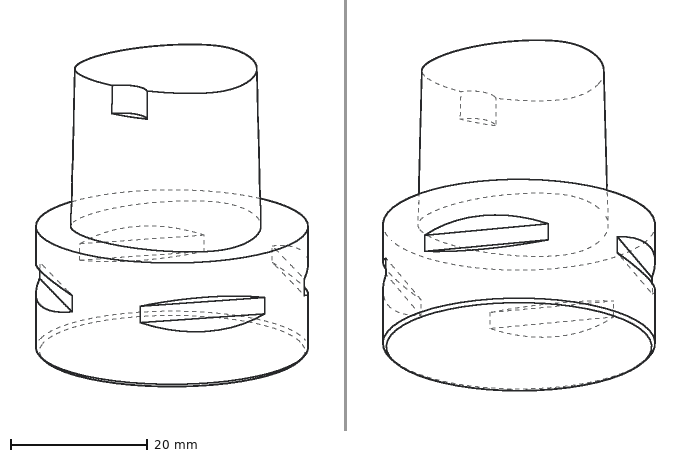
import cadquery as cq
import math

flange_diameter = 40.0
flange_height = 19.0
flange_radius = flange_diameter / 2
chamfer_size = 0.5

total_height = 43.0
shank_height = total_height - flange_height
shank_base_radius = 13.98
shank_taper = 1 / 20
shank_top_radius = shank_base_radius - shank_height * shank_taper / 2
lobe_amount = 0.9
outline_points = 48

groove_count = 4
groove_first_angle = 45.0
groove_center_z = 11.0
groove_floor_height = 2.5
groove_floor_distance = 17.65
groove_side_angle = 30.0

notch_radius = 3.75
notch_inner_distance = 10.85
notch_height = 4.25


def lobed_wire(mean_radius, z):
    """Constant-width, three-lobed outline with one lobe towards +Y."""
    points = []
    for i in range(outline_points):
        angle = 2 * math.pi * i / outline_points
        lobe_angle = 3 * (angle - math.pi / 2)
        reach = mean_radius + lobe_amount * math.cos(lobe_angle)
        slide = -3 * lobe_amount * math.sin(lobe_angle)
        x = reach * math.cos(angle) - slide * math.sin(angle)
        y = reach * math.sin(angle) + slide * math.cos(angle)
        points.append(cq.Vector(x, y, z))
    return cq.Wire.assembleEdges([cq.Edge.makeSpline(points, periodic=True)])


def make_flange():
    """Disc with a 45 degree chamfer around its lower edge."""
    profile = [
        (0, 0),
        (flange_radius - chamfer_size, 0),
        (flange_radius, chamfer_size),
        (flange_radius, flange_height),
        (0, flange_height),
    ]
    return cq.Workplane("XZ").polyline(profile).close().revolve(360, (0, 0), (0, 1))


def make_shank():
    base = lobed_wire(shank_base_radius, flange_height)
    top = lobed_wire(shank_top_radius, total_height)
    return cq.Workplane(obj=cq.Solid.makeLoft([base, top], True))


def make_groove(angle):
    """Straight trapezoidal cutter, wider towards the outside."""
    depth = flange_radius - groove_floor_distance
    floor_half = groove_floor_height / 2
    mouth_half = floor_half + depth * math.tan(math.radians(groove_side_angle))
    profile = [
        (groove_floor_distance, groove_center_z - floor_half),
        (flange_radius, groove_center_z - mouth_half),
        (flange_radius, groove_center_z + mouth_half),
        (groove_floor_distance, groove_center_z + floor_half),
    ]
    cutter = cq.Workplane("XZ").polyline(profile).close().extrude(flange_radius, both=True)
    return cutter.rotate((0, 0, 0), (0, 0, 1), angle)


def make_notch():
    notch_center_y = -(notch_inner_distance + notch_radius)
    notch = cq.Workplane("XY", origin=(0, notch_center_y, total_height - notch_height))
    return notch.circle(notch_radius).extrude(notch_height)


result = make_flange().union(make_shank()).cut(make_notch())
for i in range(groove_count):
    result = result.cut(make_groove(groove_first_angle + i * 360 / groove_count))